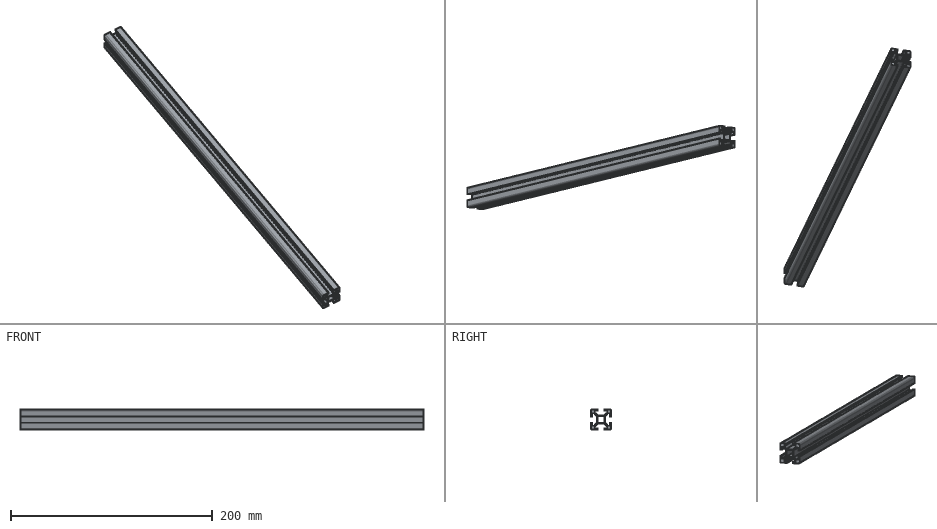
import cadquery as cq

length = 400.0
width = 20.0
corner_radius = 1.3

slot_opening = 6.0
lip_thickness = 1.45
corner_block = 4.0

core_wall = 1.1
bore_width = 6.5
web_offset = 1.0

half_width = width / 2
half_opening = slot_opening / 2
half_core = bore_width / 2 + core_wall
lip_inner = half_width - lip_thickness
block_inner = half_width - corner_block


def make_slot():
    """T-slot with a tapered floor, open toward +Z, cut along the full length."""
    right_side = [
        (half_opening, half_width),
        (half_opening, lip_inner),
        (block_inner, lip_inner),
        (block_inner, block_inner + web_offset),
        (half_core - web_offset, half_core),
    ]
    left_side = [(-y, z) for y, z in reversed(right_side)]
    return cq.Workplane("YZ").polyline(right_side + left_side).close().extrude(length)


bar = cq.Workplane("YZ").rect(width, width).extrude(length)
bar = bar.edges("|X").fillet(corner_radius)

bore = cq.Workplane("YZ").rect(bore_width, bore_width).extrude(length)
bar = bar.cut(bore)

slot = make_slot()
for side in range(4):
    bar = bar.cut(slot.rotate((0, 0, 0), (1, 0, 0), side * 90))

result = bar.translate((-length / 2, 0, 0))